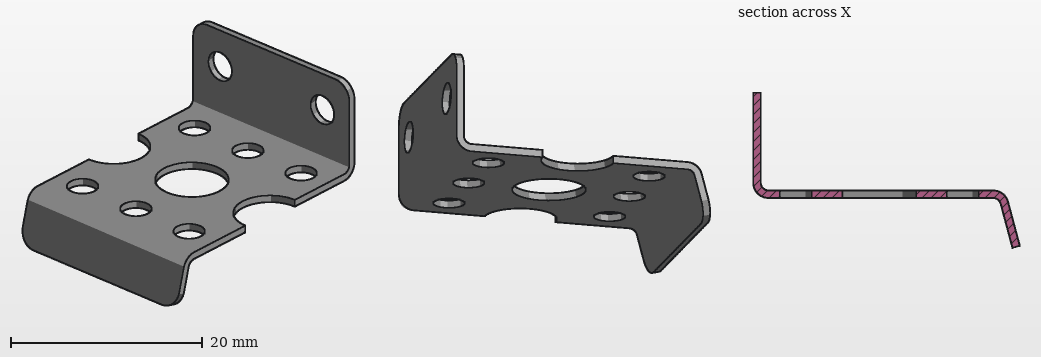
import cadquery as cq
import math

width = 22.0
depth = 27.85
height = 16.2
thickness = 0.8
flange_height = 11.0

inner_radius = 0.8
outer_radius = inner_radius + thickness
lip_angle = 75.0
corner_radius = 2.0

hole_diameter = 3.3
large_diameter = 7.7
hole_spacing_x = 7.5
hole_spacing_y = 8.72
pattern_setback = 13.17
flange_hole_x = 7.19
flange_hole_drop = 4.25

back_y = pattern_setback
front_y = back_y - depth
lip_bottom_z = flange_height - height
lip_sin = math.sin(math.radians(lip_angle))
lip_cos = math.cos(math.radians(lip_angle))

lip_bend_z = thickness - outer_radius
lip_length = (lip_bend_z + inner_radius * lip_cos - lip_bottom_z) / lip_sin
lip_bend_y = front_y + outer_radius * lip_sin + lip_length * lip_cos


def lip_point(radius, angle, run=0.0):
    """Point on the lip bend at an angle from vertical, moved along its tangent by run."""
    sine = math.sin(math.radians(angle))
    cosine = math.cos(math.radians(angle))
    return (
        lip_bend_y - radius * sine - run * cosine,
        lip_bend_z + radius * cosine - run * sine,
    )


def bent_sheet():
    """Side profile of the bent sheet, extruded over the full width."""
    flange_bend_y = back_y - outer_radius
    flange_bend_z = outer_radius
    diagonal = math.sqrt(0.5)
    outer_middle = (flange_bend_y + outer_radius * diagonal, flange_bend_z - outer_radius * diagonal)
    inner_middle = (flange_bend_y + inner_radius * diagonal, flange_bend_z - inner_radius * diagonal)
    return (
        cq.Workplane("YZ")
        .moveTo(back_y, flange_height)
        .lineTo(back_y, flange_bend_z)
        .threePointArc(outer_middle, (flange_bend_y, 0))
        .lineTo(lip_bend_y, 0)
        .threePointArc(lip_point(inner_radius, lip_angle / 2), lip_point(inner_radius, lip_angle))
        .lineTo(*lip_point(inner_radius, lip_angle, lip_length))
        .lineTo(*lip_point(outer_radius, lip_angle, lip_length))
        .lineTo(*lip_point(outer_radius, lip_angle))
        .threePointArc(lip_point(outer_radius, lip_angle / 2), (lip_bend_y, thickness))
        .lineTo(flange_bend_y, thickness)
        .threePointArc(inner_middle, (back_y - thickness, flange_bend_z))
        .lineTo(back_y - thickness, flange_height)
        .close()
        .extrude(width / 2, both=True)
    )


def round_corners(sheet):
    """Round the free corners of the flange and of the lip."""
    lip_normal = cq.Vector(0, -lip_sin, lip_cos)
    sheet = sheet.faces(">Z").edges("|Y").fillet(corner_radius)
    return sheet.edges(cq.selectors.ParallelDirSelector(lip_normal)).edges("<Y or <Z").fillet(corner_radius)


def plate_cutters():
    """Six small holes, the central hole and the half-round side notches."""
    small = (
        cq.Workplane("XY")
        .rarray(hole_spacing_x, 2 * hole_spacing_y, 3, 2)
        .circle(hole_diameter / 2)
        .extrude(thickness)
    )
    large = (
        cq.Workplane("XY")
        .rarray(width / 2, 0.28, 3, 1)
        .circle(large_diameter / 2)
        .extrude(thickness)
    )
    return small.union(large)


def flange_cutters():
    """Two holes through the upright flange."""
    hole_z = flange_height - flange_hole_drop
    return (
        cq.Workplane("XZ", origin=(0, back_y, 0))
        .pushPoints([(side * flange_hole_x, hole_z) for side in (-1, 1)])
        .circle(hole_diameter / 2)
        .extrude(thickness)
    )


result = round_corners(bent_sheet()).cut(plate_cutters()).cut(flange_cutters())